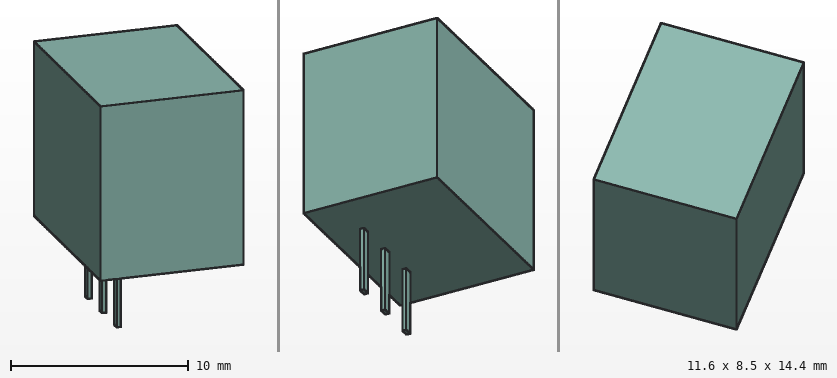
import cadquery as cq

body_length = 11.6
body_width = 8.5
total_height = 14.4
pin_length = 4.0
body_height = total_height - pin_length

pin_count = 3
pin_pitch = 2.53
pin_width = 0.5
pin_thickness = 0.25
pin_row_y = -2.13


def make_body():
    """Plain block standing on the XY plane."""
    return cq.Workplane("XY").box(body_length, body_width, body_height, centered=(True, True, False))


def make_pins():
    """Evenly spaced pins hanging from the underside of the body."""
    return (
        cq.Workplane("XY")
        .center(0, pin_row_y)
        .rarray(pin_pitch, 0.15, pin_count, 1)
        .rect(pin_width, pin_thickness)
        .extrude(-pin_length)
    )


result = make_body().union(make_pins())